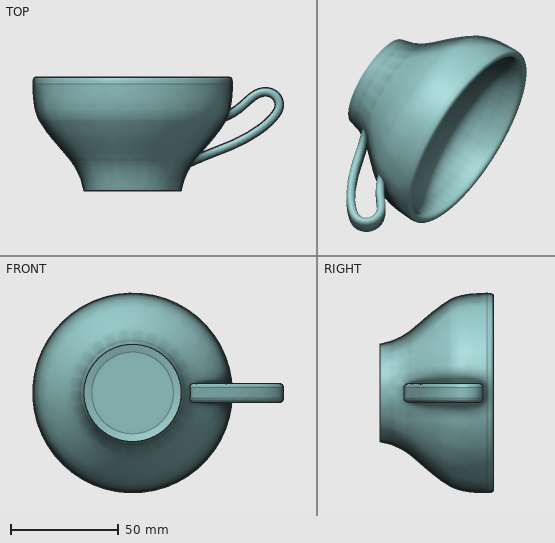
import cadquery as cq

height = 53.0
rim_radius = 46.5
lip_height = 3.2
wall = 3.5
floor_level = 4.3
base_radius = 22.7
foot_recess_radius = 19.0
foot_recess_depth = 0.8
lip_base = height - lip_height

outer_curve = [
    (base_radius, 0),
    (24.5, 6.7),
    (28.5, 13.7),
    (33.5, 19.7),
    (41.5, 29.7),
    (43.9, 33.9),
    (45.8, 40.2),
    (rim_radius, lip_base),
]

handle_thickness = 4.0
handle_width = 8.9
handle_path = [
    (24.5, 12.4),
    (40.2, 18.9),
    (49.8, 23.0),
    (58.5, 28.2),
    (65.1, 33.8),
    (68.4, 40.3),
    (66.6, 44.3),
    (61.8, 46.2),
    (57.0, 44.6),
    (51.2, 39.7),
    (45.0, 35.5),
    (39.7, 33.4),
]


def revolve_about_axis(profile):
    return profile.close().revolve(360, (0, 0, 0), (0, 1, 0))


def make_outer_body():
    """Solid of the outside shape, with a half-elliptical lip and a conical foot recess."""
    lip_center = rim_radius - wall / 2
    profile = (
        cq.Workplane("XY")
        .moveTo(0, foot_recess_depth)
        .lineTo(foot_recess_radius, foot_recess_depth)
        .lineTo(*outer_curve[0])
        .spline(outer_curve[1:], includeCurrent=True)
        .spline([(lip_center, height)], tangents=[(0, 1), (-1, 0)], includeCurrent=True)
        .spline([(rim_radius - wall, lip_base)], tangents=[(-1, 0), (0, -1)], includeCurrent=True)
        .lineTo(0, lip_base)
    )
    return revolve_about_axis(profile)


def make_cavity():
    """Inside of the cup: the outer curve moved in by the wall, above a flat floor."""
    inner_curve = [(radius - wall, level) for radius, level in outer_curve]
    profile = (
        cq.Workplane("XY")
        .lineTo(*inner_curve[0])
        .spline(inner_curve[1:], includeCurrent=True)
        .lineTo(0, lip_base)
    )
    below_floor = cq.Workplane("XZ").circle(base_radius + wall).extrude(-floor_level)
    return revolve_about_axis(profile).cut(below_floor)


def make_handle():
    path = cq.Workplane("XY").spline(handle_path)
    start_plane = cq.Plane(
        origin=path.val().startPoint(),
        xDir=(0, 0, 1),
        normal=path.val().tangentAt(0),
    )
    section = cq.Sketch().slot(handle_width - handle_thickness, handle_thickness)
    return cq.Workplane(start_plane).placeSketch(section).sweep(path)


result = make_outer_body().union(make_handle()).cut(make_cavity())